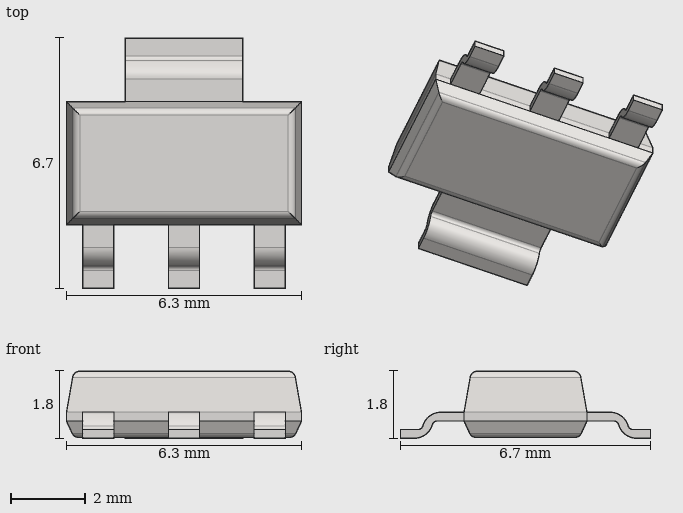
import cadquery as cq
import math

BODY_LENGTH = 6.3
BODY_WIDTH = 3.295
SPAN = 6.7
TOP_Z = 1.8
STANDOFF = 0.02

UPPER_DRAFT = 10.0
LOWER_DRAFT = 25.0
EDGE_RADIUS = 0.2

THICKNESS = 0.24
SHOULDER_Z = 0.705
BEND_OUTER_RADIUS = 0.51
BEND_INNER_RADIUS = 0.13
FOOT_LENGTH = 0.475

LEAD_WIDTH = 0.84
LEAD_PITCH = 2.3
LEAD_COUNT = 3
TAB_WIDTH = 3.155

SHOULDER_BOTTOM_Z = SHOULDER_Z - THICKNESS
TOE_Y = -SPAN / 2
FACE_Y = -BODY_WIDTH / 2


def make_housing():
    """Moulded housing: straight band with a tapered upper and lower half."""
    def tapered_half(start_z, end_z, draft):
        half = (
            cq.Workplane("XY")
            .rect(BODY_LENGTH, BODY_WIDTH)
            .extrude(abs(end_z - start_z), taper=draft)
        )
        if end_z < start_z:
            half = half.mirror("XY")
        return half.translate((0, 0, start_z))

    band = (
        cq.Workplane("XY", origin=(0, 0, SHOULDER_BOTTOM_Z))
        .rect(BODY_LENGTH, BODY_WIDTH)
        .extrude(THICKNESS)
    )
    upper = tapered_half(SHOULDER_Z, TOP_Z, UPPER_DRAFT)
    lower = tapered_half(SHOULDER_BOTTOM_Z, STANDOFF, LOWER_DRAFT)
    housing = band.union(upper).union(lower)
    return housing.faces("<Z or >Z").edges().fillet(EDGE_RADIUS)


def make_gull_wing(width, center_x):
    """Bent strip running from the -Y housing face down to its foot.

    The lower outline is the upper bend turned half a turn about the
    middle of the bend, so both bends share the same two radii.
    """
    radius_sum = BEND_OUTER_RADIUS + BEND_INNER_RADIUS
    angle = math.acos(1 - SHOULDER_BOTTOM_Z / radius_sum)
    foot_end_y = TOE_Y + FOOT_LENGTH
    shoulder_y = foot_end_y + radius_sum * math.sin(angle)

    def outer_point(turn):
        return (
            shoulder_y - BEND_OUTER_RADIUS * math.sin(turn),
            SHOULDER_Z - BEND_OUTER_RADIUS * (1 - math.cos(turn)),
        )

    def inner_point(turn):
        return (
            foot_end_y + BEND_INNER_RADIUS * math.sin(turn),
            THICKNESS + BEND_INNER_RADIUS * (1 - math.cos(turn)),
        )

    joint_y, joint_z = outer_point(angle)
    middle_z = SHOULDER_Z / 2
    along = (joint_z - middle_z - THICKNESS / 2 * math.cos(angle)) / math.sin(angle)
    middle_y = joint_y + THICKNESS / 2 * math.sin(angle) - along * math.cos(angle)

    def turned(point):
        return (2 * middle_y - point[0], 2 * middle_z - point[1])

    outline = (
        cq.Workplane("YZ", origin=(center_x - width / 2, 0, 0))
        .moveTo(FACE_Y, SHOULDER_Z)
        .lineTo(*outer_point(0))
        .threePointArc(outer_point(angle / 2), outer_point(angle))
        .threePointArc(inner_point(angle / 2), inner_point(0))
        .lineTo(TOE_Y, THICKNESS)
        .lineTo(TOE_Y, 0)
        .lineTo(*turned(outer_point(0)))
        .threePointArc(turned(outer_point(angle / 2)), turned(outer_point(angle)))
        .threePointArc(turned(inner_point(angle / 2)), turned(inner_point(0)))
        .lineTo(FACE_Y, SHOULDER_BOTTOM_Z)
        .close()
    )
    return outline.extrude(width)


def make_leads():
    """Row of equal leads along the -Y face, centred on X = 0."""
    leads = []
    for index in range(LEAD_COUNT):
        center_x = (index - (LEAD_COUNT - 1) / 2) * LEAD_PITCH
        leads.append(make_gull_wing(LEAD_WIDTH, center_x).val())
    return leads


def make_tab():
    """Wide heat-sink tab on the +Y face, with the same section as the leads."""
    return make_gull_wing(TAB_WIDTH, 0).mirror("XZ")


housing = make_housing()
leads = make_leads()
tab = make_tab()

result = cq.Compound.makeCompound([housing.val(), *leads, tab.val()])